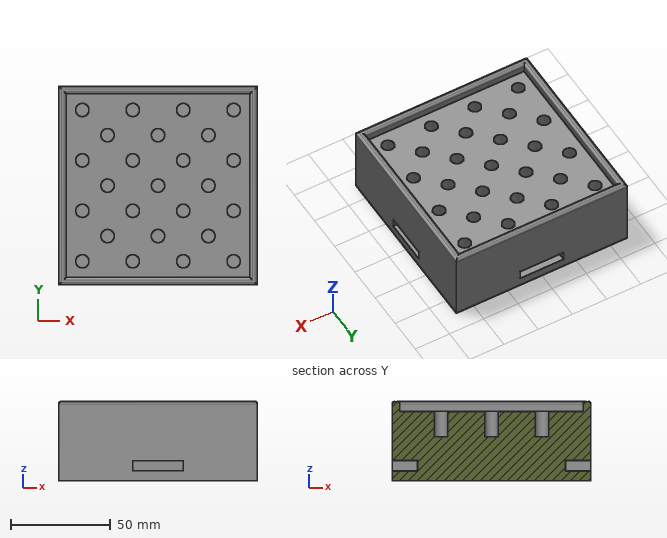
import cadquery as cq

side = 100.0
height = 40.1

wall = 3.8
recess_depth = 5.1
rim_radius = 1.3

hole_diameter = 6.7
hole_depth = 12.7
hole_pitch = 25.4
holes_per_side = 4

slot_width = 25.4
slot_height = 5.1
slot_bottom = 5.1
slot_depth = 12.7


def slot_cutter():
    """Blind slot entering through the middle of the -Y face."""
    return cq.Workplane("XY").box(
        slot_width, slot_depth, slot_height, centered=(True, False, False)
    ).translate((0, -side / 2, slot_bottom))


def hole_cutters(count):
    """Centred square grid of count x count cylinders below the tray floor."""
    return (
        cq.Workplane("XY", origin=(0, 0, height - recess_depth))
        .rarray(hole_pitch, hole_pitch, count, count)
        .circle(hole_diameter / 2)
        .extrude(-hole_depth)
    )


opening = side - 2 * wall
block = cq.Workplane("XY").box(side, side, height, centered=(True, True, False))
block = block.faces(">Z").workplane().rect(opening, opening).cutBlind(-recess_depth)

block = block.faces(">Z").edges().fillet(rim_radius)

for count in (holes_per_side, holes_per_side - 1):
    block = block.cut(hole_cutters(count))

for angle in (0, 90, 180, 270):
    block = block.cut(slot_cutter().rotate((0, 0, 0), (0, 0, 1), angle))

result = block